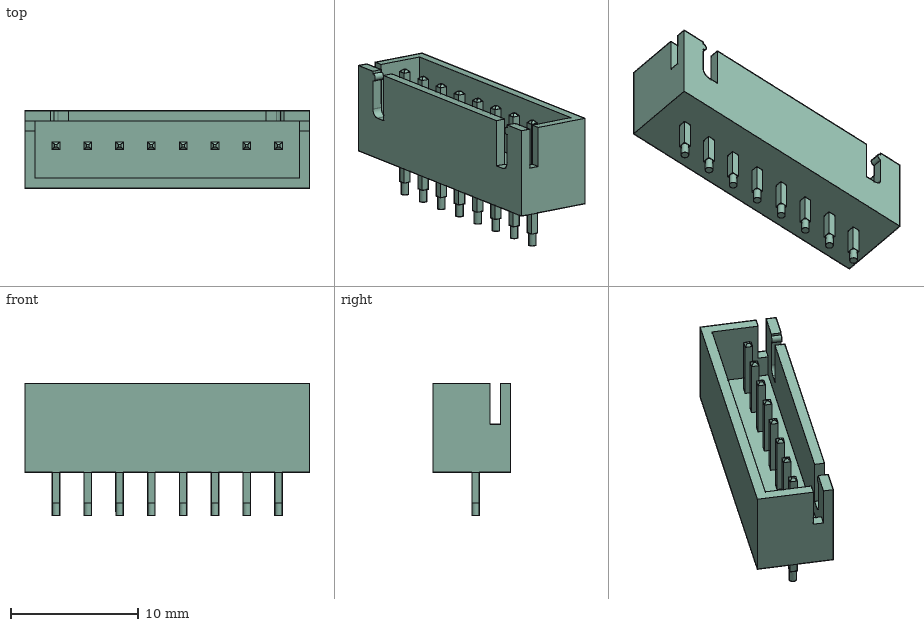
import cadquery as cq

pin_count = 8
pitch = 2.5
end_margin = 2.45
housing_length = (pin_count - 1) * pitch + 2 * end_margin
housing_depth = 6.1
housing_height = 7.0
pin_to_back = 2.75
wall = 0.8
floor_thickness = 2.0

back_y = pin_to_back
front_y = back_y - housing_depth
half_length = housing_length / 2

finger_width = 2.0
window_width = 1.45
slot_depth = 3.2
window_depth = 3.7
end_slot_width = 0.8
root_radius = 0.6
bump_radius = 0.3
bump_drop = 0.5

pin_size = 0.6
pin_top = 6.8
tip_bevel = 0.2
tail_length = 3.4
round_tail_length = 1.0

slot_floor = housing_height - slot_depth
window_floor = housing_height - window_depth
finger_edge = half_length - finger_width


def block(x_range, y_range, z_range):
    """Box spanning the given (low, high) ranges."""
    lows, highs = zip(x_range, y_range, z_range)
    sizes = [high - low for low, high in zip(lows, highs)]
    return cq.Workplane("XY").box(*sizes, centered=False).translate(lows)


def make_shell():
    """Box with a deep rectangular cavity open at the top."""
    outer = block((-half_length, half_length), (front_y, back_y), (0, housing_height))
    inner_half_length = half_length - wall
    cavity = block(
        (-inner_half_length, inner_half_length),
        (front_y + wall, back_y - wall),
        (floor_thickness, housing_height),
    )
    return outer.cut(cavity)


def cut_end_slots(body):
    """Slot through both end walls, just in front of the rear wall."""
    slot_back = back_y - wall
    slot = block(
        (-half_length, half_length),
        (slot_back - end_slot_width, slot_back),
        (slot_floor, housing_height),
    )
    return body.cut(slot)


def make_window():
    """Rear wall opening beside the +X finger, rounded at the finger root."""
    window = block(
        (finger_edge - window_width, finger_edge),
        (back_y - wall, back_y),
        (window_floor, housing_height),
    )
    return window.edges(">X and <Z").fillet(root_radius)


def make_bump():
    """Round rib along the inner edge of the +X finger."""
    return (
        cq.Workplane("XZ", origin=(finger_edge, back_y, housing_height - bump_drop))
        .circle(bump_radius)
        .extrude(wall)
    )


def add_latch_fingers(body):
    """Free both fingers with mirrored windows and add their bumps."""
    window = make_window()
    bump = make_bump()
    body = body.cut(window).cut(window.mirror("YZ"))
    return body.union(bump).union(bump.mirror("YZ"))


def make_pin():
    """Pin on the Z axis: round tail, square post and bevelled tip."""
    half_size = pin_size / 2
    post_bottom = round_tail_length - tail_length
    post = block((-half_size, half_size), (-half_size, half_size), (post_bottom, pin_top))
    post = post.faces(">Z").chamfer(tip_bevel)
    tail = (
        cq.Workplane("XY", origin=(0, 0, -tail_length))
        .circle(half_size)
        .extrude(round_tail_length)
    )
    return post.union(tail)


def add_pins(body):
    pin = make_pin()
    first_x = end_margin - half_length
    for index in range(pin_count):
        body = body.union(pin.translate((first_x + index * pitch, 0, 0)))
    return body


result = add_pins(add_latch_fingers(cut_end_slots(make_shell())))